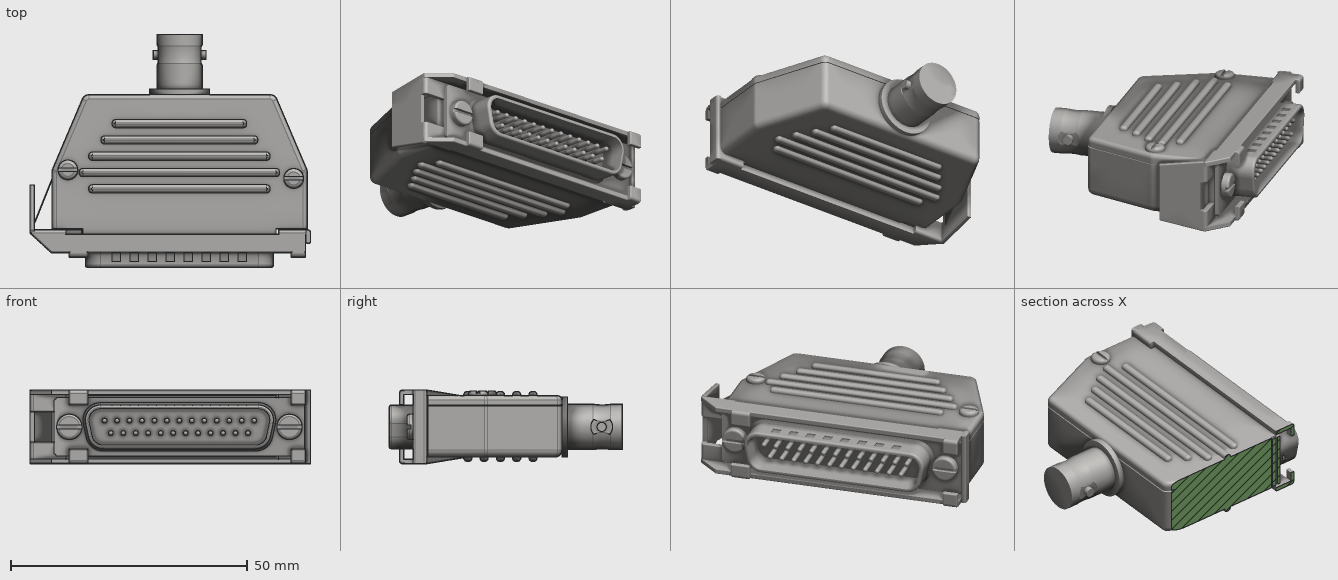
import cadquery as cq
import math


FLANGE_FRONT = 5.9
FLANGE_BACK = 6.7
FLANGE_HALF_WIDTH = 26.5
FLANGE_HALF_HEIGHT = 6.2
FLANGE_CHAMFER = 0.6
SHELL_HALF_HEIGHT = 4.63
SHELL_HALF_WIDTH = 20.67
SHELL_SIDE_ANGLE = 12.0
SHELL_CORNER_RADIUS = 3.2
SHELL_THICKNESS = 0.78
SHELL_EDGE_RADIUS = 0.5
FLARE_CHAMFER = 0.49
WINDOW_COUNT = 8
WINDOW_PITCH = 3.81
WINDOW_SIZE = 1.85
WINDOW_FRONT = 1.3
WINDOW_DEPTH = 0.3
PIN_DIAMETER = 1.02
PIN_PITCH = 2.64
PIN_ROW_OFFSET = 1.32
PIN_TIP = 1.0
UPPER_PINS = 13
LOWER_PINS = 12

JACK_X = 23.3
JACK_DIAMETER = 5.37
JACK_HEIGHT = 1.6
JACK_NECK_DIAMETER = 2.85
JACK_NECK_LENGTH = 0.5
JACK_EDGE_RADIUS = 0.5
JACK_SLOT_WIDTH = 0.9
JACK_SLOT_DEPTH = 0.8

HOOD_MID_X = 0.05
HOOD_MID_Z = 0.1
HOOD_HALF_HEIGHT = 6.5
HOOD_TOP = HOOD_MID_Z + HOOD_HALF_HEIGHT
HOOD_BOTTOM = HOOD_MID_Z - HOOD_HALF_HEIGHT
HOOD_HALF_WIDTH = 27.05
HOOD_BACK_HALF_WIDTH = 20.2
HOOD_SHOULDER_Y = 20.5
HOOD_BACK = 36.6
HOOD_NECK_HALF_WIDTH = 20.5
HOOD_NECK_BACK = 8.2
HOOD_CORNER_RADIUS = 1.6
HOOD_TOP_RADIUS = 0.95
HOOD_BOTTOM_RADIUS = 1.5
SEAM_Z = 4.55
SEAM_WIDTH = 0.25
SEAM_DEPTH = 0.25
RIB_HALF_LENGTHS = [19.2, 21.2, 19.2, 16.6, 14.25]
RIB_FIRST_Y = 16.65
RIB_PITCH = 3.45
RIB_WIDTH = 1.74
RIB_HEIGHT = 0.9
RIB_END_RADIUS = 0.76
RIB_TOP_RADIUS = 0.72
COVER_SCREW_PLACES = [(-23.6, 20.65), (24.2, 18.85)]
COVER_SCREW_DIAMETER = 4.2
COVER_SCREW_HEIGHT = 1.05
COVER_SCREW_EDGE_RADIUS = 0.75
COVER_SCREW_SLOT_WIDTH = 0.75
COVER_SCREW_SLOT_DEPTH = 0.5

SHEET = 1.0
SHEET_EDGE_RADIUS = 0.25
LOCK_HEIGHT = 15.62
LOCK_LENGTH = 59.44
LOCK_HALF_HEIGHT = LOCK_HEIGHT / 2
LOCK_LEFT = -31.65
LOCK_RIGHT = LOCK_LEFT + LOCK_LENGTH
PLATE_RIGHT = 26.75
PLATE_FRONT = 3.1
PLATE_BACK = 7.05
WALL_BACK = 8.0
LEFT_WALL_END = -24.0
LEFT_TONGUE_END = -20.7
RIGHT_WALL_START = 21.0
DIAGONAL_RUN = 4.55
DIAGONAL_RISE = 4.2
BEND_RADIUS = 0.65
TAB_RANGES = [(-23.4, -19.3), (23.6, PLATE_RIGHT)]
TAB_FRONT = 2.15
TAB_INNER_Z = 4.66
TAB_BEND_RADIUS = 0.7
LIP_FRONT = 5.1
LIP_EDGE_RADIUS = 0.35
FLAP_BEND_RADIUS = 0.8
FLAP_BACK = 17.5
FLAP_BACK_HALF_HEIGHT = 6.25
FLAP_WINDOW_HALF_HEIGHT = 3.2
FLAP_WINDOW_RIGHT = -26.0
FLAP_WINDOW_BACK = 8.45
WINDOW_EDGE_RADIUS = 0.2
SPRING_HALF_HEIGHT = 4.5
SPRING_STEP_Y = 0.3
SPRING_FLAP_Y = 9.3
SPRING_HOOD_Y = 18.5
SPRING_BITE = 0.05

COLLAR_DIAMETER = 12.7
COLLAR_LENGTH = 1.2
SOCKET_DIAMETER = 9.65
SOCKET_BACK = 49.37
NECK_DIAMETER = 9.34
NECK_FRONT = 43.2
NECK_BACK = 46.9
LUG_Y = 45.0
LUG_DIAMETER = 1.96
LUG_TIP_X = 5.63
LUG_FLAT_X = 4.53
LUG_FLAT_DIAMETER = 4.6


def block(x0, x1, y0, y1, z0, z1):
    """Box between two opposite corners."""
    return cq.Workplane("XY").box(x1 - x0, y1 - y0, z1 - z0, centered=False).translate((x0, y0, z0))


def rod_y(radius, y0, y1, x=0.0, z=0.0):
    """Cylinder along Y."""
    return cq.Workplane("XY").add(
        cq.Solid.makeCylinder(radius, y1 - y0, cq.Vector(x, y0, z), cq.Vector(0, 1, 0)))


def rod_x(radius, x0, x1, y):
    """Cylinder along X at mid-height."""
    return cq.Workplane("XY").add(
        cq.Solid.makeCylinder(radius, x1 - x0, cq.Vector(x0, y, 0), cq.Vector(1, 0, 0)))


def slotted_head(diameter, height, edge_radius, slot_width, slot_depth):
    """Round screw head standing on Z = 0, with its slot along X."""
    head = cq.Workplane("XY").circle(diameter / 2).extrude(height)
    head = head.faces(">Z").edges().fillet(edge_radius)
    reach = diameter / 2
    slot = block(-reach, reach, -slot_width / 2, slot_width / 2, height - slot_depth, height)
    return head.cut(slot)


def d_prism(inset, y_front, y_back):
    """Rounded D outline, inset from the outside of the shell, extruded along Y."""
    half_height = SHELL_HALF_HEIGHT - inset
    taper = math.tan(math.radians(SHELL_SIDE_ANGLE))
    side_inset = inset / math.cos(math.radians(SHELL_SIDE_ANGLE))
    top = SHELL_HALF_WIDTH - side_inset - taper * inset
    bottom = top - 2 * half_height * taper
    outline = [(-top, half_height), (top, half_height), (bottom, -half_height), (-bottom, -half_height)]
    prism = cq.Workplane("XZ", origin=(0, y_back, 0)).polyline(outline).close().extrude(y_back - y_front)
    return prism.edges("|Y").fillet(SHELL_CORNER_RADIUS - inset)


def make_pin(x, z):
    radius = PIN_DIAMETER / 2
    shank = rod_y(radius, PIN_TIP + radius, FLANGE_FRONT, x, z)
    tip = cq.Workplane("XY").sphere(radius).translate((x, PIN_TIP + radius, z))
    return shank.union(tip)


def make_shell():
    """Flange and the hollow D-shaped shell with its flared foot."""
    flange = block(-FLANGE_HALF_WIDTH, FLANGE_HALF_WIDTH, FLANGE_FRONT, FLANGE_BACK,
                   -FLANGE_HALF_HEIGHT, FLANGE_HALF_HEIGHT)
    flange = flange.edges("|Y").chamfer(FLANGE_CHAMFER)
    shell = d_prism(0, 0, FLANGE_FRONT).faces("<Y").edges().fillet(SHELL_EDGE_RADIUS)
    flare = d_prism(-SHELL_EDGE_RADIUS, FLANGE_FRONT - SHELL_EDGE_RADIUS, FLANGE_FRONT)
    flare = flare.faces("<Y").edges().chamfer(FLARE_CHAMFER)
    return flange.union(shell).union(flare).cut(d_prism(SHELL_THICKNESS, 0, FLANGE_FRONT))


def make_windows():
    """Row of shallow square dimples along the top of the shell, as cutters."""
    windows = cq.Workplane("XY")
    for i in range(WINDOW_COUNT):
        x = (i - (WINDOW_COUNT - 1) / 2) * WINDOW_PITCH
        windows = windows.union(block(x - WINDOW_SIZE / 2, x + WINDOW_SIZE / 2,
                                      WINDOW_FRONT, WINDOW_FRONT + WINDOW_SIZE,
                                      SHELL_HALF_HEIGHT - WINDOW_DEPTH, SHELL_HALF_HEIGHT))
    return windows


def make_jack_screw(x):
    """Slotted head held off the flange by a short neck."""
    head_back = FLANGE_FRONT - JACK_NECK_LENGTH
    head = slotted_head(JACK_DIAMETER, JACK_HEIGHT, JACK_EDGE_RADIUS, JACK_SLOT_WIDTH, JACK_SLOT_DEPTH)
    head = head.rotate((0, 0, 0), (1, 0, 0), 90).translate((x, head_back, 0))
    return head.union(rod_y(JACK_NECK_DIAMETER / 2, head_back, FLANGE_FRONT, x))


def make_plug():
    plug = make_shell().cut(make_windows())
    for count, z in ((UPPER_PINS, PIN_ROW_OFFSET), (LOWER_PINS, -PIN_ROW_OFFSET)):
        for i in range(count):
            plug = plug.union(make_pin((i - (count - 1) / 2) * PIN_PITCH, z))
    for x in (-JACK_X, JACK_X):
        plug = plug.union(make_jack_screw(x))
    return plug


def hood_prism(inset, z0, z1):
    """Hood outline with rounded corners, inset at the sides and back."""
    outline = [
        (-HOOD_HALF_WIDTH + inset, FLANGE_BACK),
        (HOOD_HALF_WIDTH - inset, FLANGE_BACK),
        (HOOD_HALF_WIDTH - inset, HOOD_SHOULDER_Y),
        (HOOD_BACK_HALF_WIDTH - inset, HOOD_BACK - inset),
        (-HOOD_BACK_HALF_WIDTH + inset, HOOD_BACK - inset),
        (-HOOD_HALF_WIDTH + inset, HOOD_SHOULDER_Y),
    ]
    prism = cq.Workplane("XY", origin=(HOOD_MID_X, 0, z0)).polyline(outline).close().extrude(z1 - z0)
    return prism.edges("|Z").edges("not <Y").fillet(HOOD_CORNER_RADIUS)


def make_rib(half_length, y):
    """Rounded bar on the top and the bottom of the hood."""
    tall = 2 * (HOOD_HALF_HEIGHT + RIB_HEIGHT)
    bar = block(-half_length, half_length, y - RIB_WIDTH / 2, y + RIB_WIDTH / 2, -tall / 2, tall / 2)
    bar = bar.faces("<X or >X").edges("|Z").fillet(RIB_END_RADIUS)
    bar = bar.faces("<Z or >Z").edges().fillet(RIB_TOP_RADIUS)
    return bar.translate((0, 0, HOOD_MID_Z))


def make_hood():
    hood = hood_prism(0, HOOD_BOTTOM, HOOD_TOP)
    hood = hood.faces(">Z").edges("not <Y").fillet(HOOD_TOP_RADIUS)
    hood = hood.faces("<Z").edges("not <Y").fillet(HOOD_BOTTOM_RADIUS)
    seam = [SEAM_Z - SEAM_WIDTH / 2, SEAM_Z + SEAM_WIDTH / 2]
    hood = hood.cut(hood_prism(0, *seam).cut(hood_prism(SEAM_DEPTH, *seam)))
    for side in (-1, 1):
        x0, x1 = sorted((side * HOOD_NECK_HALF_WIDTH, HOOD_MID_X + side * HOOD_HALF_WIDTH))
        hood = hood.cut(block(x0, x1, FLANGE_BACK, HOOD_NECK_BACK, HOOD_BOTTOM, HOOD_TOP))
    for i, half_length in enumerate(RIB_HALF_LENGTHS):
        hood = hood.union(make_rib(half_length, RIB_FIRST_Y + i * RIB_PITCH))
    for x, y in COVER_SCREW_PLACES:
        head = slotted_head(COVER_SCREW_DIAMETER, COVER_SCREW_HEIGHT, COVER_SCREW_EDGE_RADIUS,
                            COVER_SCREW_SLOT_WIDTH, COVER_SCREW_SLOT_DEPTH)
        hood = hood.union(head.translate((x, y, HOOD_TOP)))
    return hood


def make_lock_channel():
    """Upper and lower plates joined by the two back walls, with the lip on the right."""
    height = LOCK_HALF_HEIGHT
    wall_front = WALL_BACK - SHEET
    left = block(LOCK_LEFT, LEFT_WALL_END, PLATE_FRONT, WALL_BACK, -height, height)
    right = block(RIGHT_WALL_START, PLATE_RIGHT, PLATE_FRONT, WALL_BACK, -height, height)
    right = right.union(block(PLATE_RIGHT, LOCK_RIGHT, wall_front, WALL_BACK, -height, height))
    left = left.edges("|X and >Y").fillet(BEND_RADIUS)
    right = right.edges("|X and >Y").fillet(BEND_RADIUS)
    middle = block(LEFT_WALL_END, RIGHT_WALL_START, PLATE_FRONT, PLATE_BACK, -height, height)
    channel = left.union(middle).union(right)
    front = [
        (LOCK_LEFT, PLATE_FRONT + DIAGONAL_RISE),
        (LOCK_LEFT + DIAGONAL_RUN, PLATE_FRONT),
        (LOCK_RIGHT, PLATE_FRONT),
        (LOCK_RIGHT, FLAP_BACK),
        (LOCK_LEFT, FLAP_BACK),
    ]
    envelope = cq.Workplane("XY", origin=(0, 0, -height)).polyline(front).close().extrude(2 * height)
    slant = cq.selectors.ParallelDirSelector(cq.Vector(DIAGONAL_RUN, -DIAGONAL_RISE, 0))
    front_edges = slant + cq.StringSyntaxSelector("|X and <Y")
    channel = channel.intersect(envelope.edges(front_edges).fillet(SHEET_EDGE_RADIUS))
    inner = height - SHEET
    channel = channel.cut(block(LOCK_LEFT, PLATE_RIGHT, PLATE_FRONT, wall_front, -inner, inner))
    lip = block(LOCK_RIGHT - SHEET, LOCK_RIGHT, LIP_FRONT, WALL_BACK, -height, height)
    lip = lip.edges("|Z").edges("<Y").fillet(LIP_EDGE_RADIUS)
    channel = channel.union(lip)
    channel = channel.edges("|Z").edges(">X").edges(">Y").fillet(BEND_RADIUS)
    bend_x = LOCK_LEFT + FLAP_BEND_RADIUS
    bend_y = wall_front + FLAP_BEND_RADIUS
    bend_waste = block(LOCK_LEFT, bend_x, wall_front, bend_y, -inner, inner)
    bend = cq.Workplane("XY", origin=(bend_x, bend_y, -inner)).circle(FLAP_BEND_RADIUS).extrude(2 * inner)
    channel = channel.cut(bend_waste.cut(bend))
    tongue = block(LEFT_WALL_END, LEFT_TONGUE_END, wall_front, WALL_BACK,
                   -FLANGE_HALF_HEIGHT, FLANGE_HALF_HEIGHT)
    return channel.union(tongue)


def make_tab(x0, x1, side):
    """Angled tab bent inward from the front edge of one plate; side is +1 or -1."""
    outline = [
        (PLATE_FRONT + SHEET, LOCK_HALF_HEIGHT),
        (TAB_FRONT, LOCK_HALF_HEIGHT),
        (TAB_FRONT, TAB_INNER_Z),
        (PLATE_FRONT, TAB_INNER_Z),
        (PLATE_FRONT, LOCK_HALF_HEIGHT - SHEET),
        (PLATE_FRONT + SHEET, LOCK_HALF_HEIGHT - SHEET),
    ]
    tab = cq.Workplane("YZ", origin=(x0, 0, 0)).polyline(outline).close().extrude(x1 - x0)
    tab = tab.edges("|X").edges("<Y").edges(">Z").fillet(TAB_BEND_RADIUS)
    tab = tab.faces("<Y").edges("not >Z").fillet(SHEET_EDGE_RADIUS)
    return tab if side > 0 else tab.mirror("XY")


def make_flap():
    """Tapered thumb flap on the left and the leaf spring that leans on the hood."""
    outline = [
        (WALL_BACK - SHEET_EDGE_RADIUS, -LOCK_HALF_HEIGHT),
        (WALL_BACK, -LOCK_HALF_HEIGHT),
        (FLAP_BACK, -FLAP_BACK_HALF_HEIGHT),
        (FLAP_BACK, FLAP_BACK_HALF_HEIGHT),
        (WALL_BACK, LOCK_HALF_HEIGHT),
        (WALL_BACK - SHEET_EDGE_RADIUS, LOCK_HALF_HEIGHT),
    ]
    flap = cq.Workplane("YZ", origin=(LOCK_LEFT, 0, 0)).polyline(outline).close().extrude(SHEET)
    flap = flap.faces("<X or >X").edges("not <Y").fillet(SHEET_EDGE_RADIUS)
    flap_x = LOCK_LEFT + SHEET
    hood_x = HOOD_MID_X - HOOD_HALF_WIDTH + SPRING_BITE
    leaf = [
        (flap_x, SPRING_FLAP_Y),
        (hood_x, SPRING_HOOD_Y),
        (hood_x, SPRING_HOOD_Y + SPRING_STEP_Y),
        (flap_x, SPRING_FLAP_Y + SPRING_STEP_Y),
    ]
    spring = cq.Workplane("XY", origin=(0, 0, -SPRING_HALF_HEIGHT)).polyline(leaf).close()
    return flap.union(spring.extrude(2 * SPRING_HALF_HEIGHT))


def make_lock():
    lock = make_lock_channel()
    for x0, x1 in TAB_RANGES:
        for side in (-1, 1):
            lock = lock.union(make_tab(x0, x1, side))
    lock = lock.union(make_flap())
    window = block(LOCK_LEFT, FLAP_WINDOW_RIGHT, PLATE_FRONT, FLAP_WINDOW_BACK,
                   -FLAP_WINDOW_HALF_HEIGHT, FLAP_WINDOW_HALF_HEIGHT)
    lock = lock.cut(window)
    window_edges = cq.selectors.BoxSelector(
        (LOCK_LEFT, WALL_BACK - 2 * SHEET, -FLAP_WINDOW_HALF_HEIGHT - SHEET_EDGE_RADIUS),
        (FLAP_WINDOW_RIGHT, WALL_BACK - SHEET / 2, FLAP_WINDOW_HALF_HEIGHT + SHEET_EDGE_RADIUS))
    return lock.edges(window_edges).edges("|X").fillet(WINDOW_EDGE_RADIUS)


def make_socket():
    socket = rod_y(COLLAR_DIAMETER / 2, HOOD_BACK, HOOD_BACK + COLLAR_LENGTH)
    edge_radius = SOCKET_DIAMETER / 2
    profile = cq.Workplane("XY").moveTo(0, HOOD_BACK).lineTo(edge_radius, HOOD_BACK)
    profile = profile.lineTo(edge_radius, NECK_FRONT)
    neck_middle = (NECK_DIAMETER / 2, (NECK_FRONT + NECK_BACK) / 2)
    profile = profile.threePointArc(neck_middle, (edge_radius, NECK_BACK))
    profile = profile.lineTo(edge_radius, SOCKET_BACK).lineTo(0, SOCKET_BACK).close()
    socket = socket.union(profile.revolve(360, (0, 0, 0), (0, 1, 0)))
    for x0, x1 in ((-LUG_TIP_X, -LUG_FLAT_X), (LUG_FLAT_X, LUG_TIP_X)):
        socket = socket.cut(rod_x(LUG_FLAT_DIAMETER / 2, x0, x1, LUG_Y))
    socket = socket.union(rod_x(LUG_DIAMETER / 2, -LUG_TIP_X, LUG_TIP_X, LUG_Y))
    return socket.translate((HOOD_MID_X, 0, 0))


result = make_plug().union(make_hood()).union(make_lock()).union(make_socket())